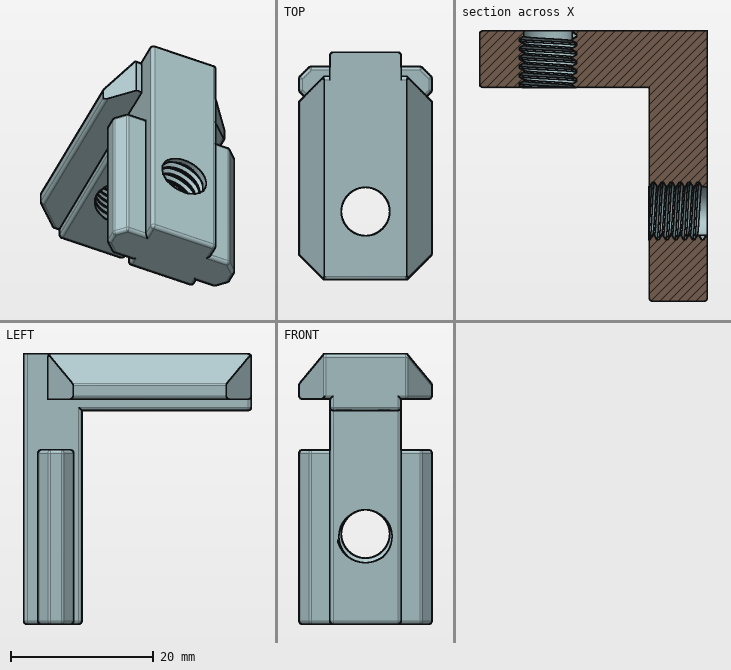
import cadquery as cq
import math

HEIGHT = 38.0
DEPTH = 32.0
WIDTH = 18.7
EDGE_RADIUS = 0.5

TOLERANCE = 0.005

CORE_WIDTH = 10.0
ARM_THICKNESS = 7.98
LEG_THICKNESS = 8.2

ARM_WING_TOP_WIDTH = 11.63
ARM_WING_HEIGHT = 6.4
ARM_WING_BACK_GAP = 3.42
ARM_WING_TAPER_DROP = 4.25
ARM_WING_TAPER_RUN = (WIDTH - ARM_WING_TOP_WIDTH) / 2

LEG_WING_THICKNESS = 5.0
LEG_WING_BACK_GAP = 2.0
LEG_WING_TOP = 24.5
LEG_WING_CHAMFER = 1.52

THREAD_PITCH = 1.25
THREAD_MAJOR_DIAMETER = 8.05
THREAD_MINOR_DIAMETER = 6.75
THREAD_ROOT_FLAT = 0.25
THREAD_START_DEPTH = 0.7
THREAD_OVERLAP = 0.1
THREAD_FLANK_ANGLE = 30
ARM_HOLE_FROM_END = 9.6
LEG_HOLE_FROM_END = 12.7


def l_core():
    """L-shaped bar: arm along -Y at the top, leg down to Z = 0."""
    outline = [
        (0, 0),
        (0, HEIGHT),
        (-DEPTH, HEIGHT),
        (-DEPTH, HEIGHT - ARM_THICKNESS),
        (-LEG_THICKNESS, HEIGHT - ARM_THICKNESS),
        (-LEG_THICKNESS, 0),
    ]
    return cq.Workplane("YZ").polyline(outline).close().extrude(CORE_WIDTH / 2, both=True)


def arm_wings():
    """Head with sloping flanks, mitred in plan at its four corners."""
    half_top = ARM_WING_TOP_WIDTH / 2
    half_width = WIDTH / 2
    bottom = HEIGHT - ARM_WING_HEIGHT
    section = [
        (-half_top, HEIGHT),
        (half_top, HEIGHT),
        (half_width, HEIGHT - ARM_WING_TAPER_DROP),
        (half_width, bottom),
        (-half_width, bottom),
        (-half_width, HEIGHT - ARM_WING_TAPER_DROP),
    ]
    length = DEPTH - ARM_WING_BACK_GAP
    flanks = (
        cq.Workplane("XZ", origin=(0, -ARM_WING_BACK_GAP, 0))
        .polyline(section).close().extrude(length)
    )
    plan = (
        cq.Workplane("XY", origin=(0, -ARM_WING_BACK_GAP - length / 2, bottom))
        .rect(WIDTH, length).extrude(ARM_WING_HEIGHT)
        .edges("|Z").chamfer(ARM_WING_TAPER_RUN)
    )
    return flanks.intersect(plan)


def leg_wings():
    """Octagonal bar across the leg, rounded on its long edges and its top."""
    center_y = -LEG_WING_BACK_GAP - LEG_WING_THICKNESS / 2
    return (
        cq.Workplane("XY", origin=(0, center_y, 0))
        .rect(WIDTH, LEG_WING_THICKNESS).extrude(LEG_WING_TOP)
        .edges("|Z").chamfer(LEG_WING_CHAMFER)
        .edges("|Z").fillet(EDGE_RADIUS)
        .faces(">Z").edges().fillet(EDGE_RADIUS)
    )


def at(value, target):
    """True where a coordinate lies at the target."""
    return abs(value - target) < TOLERANCE


def is_core_long_edge(edge):
    """Free long edges of the core: back of the leg, inside faces of leg and arm."""
    c = edge.Center()
    on_side = at(abs(c.x), CORE_WIDTH / 2)
    leg_edge = at(c.y, 0) or at(c.y, -LEG_THICKNESS)
    arm_edge = at(c.z, HEIGHT - ARM_THICKNESS)
    return on_side and edge.Length() > HEIGHT / 2 and (leg_edge or arm_edge)


def is_flank_edge(edge):
    """Long edges above and below the upright side of each arm wing."""
    c = edge.Center()
    return at(abs(c.x), WIDTH / 2) and edge.Length() > DEPTH / 2


def is_right_mitre_edge(edge):
    """Edges of the front mitre on the +X arm wing."""
    c = edge.Center()
    front = c.y < -DEPTH + ARM_WING_TAPER_RUN + TOLERANCE
    return front and c.x > ARM_WING_TOP_WIDTH / 2 - TOLERANCE


def is_end_face_edge(edge):
    """Outline of the arm's front end face."""
    box = edge.BoundingBox()
    return at(box.ymin, -DEPTH) and at(box.ymax, -DEPTH)


def is_back_top_edge(edge):
    """Short top edges at the back of the arm wings."""
    c = edge.Center()
    return at(c.y, -ARM_WING_BACK_GAP) and at(c.z, HEIGHT)


def is_rounded_edge(edge):
    """Every edge of the core and arm wings that gets rounded."""
    return (
        is_core_long_edge(edge)
        or is_flank_edge(edge)
        or is_right_mitre_edge(edge)
        or is_end_face_edge(edge)
        or is_back_top_edge(edge)
    )


def thread_groove(length):
    """Right-hand thread groove winding down -Z from the origin, starting on the +Y side."""
    inner = THREAD_MINOR_DIAMETER / 2 - THREAD_OVERLAP
    outer = THREAD_MAJOR_DIAMETER / 2
    half_root = THREAD_ROOT_FLAT / 2
    half_opening = half_root + (outer - inner) * math.tan(math.radians(THREAD_FLANK_ANGLE))
    groove = [
        (inner, -half_opening),
        (outer, -half_root),
        (outer, half_root),
        (inner, half_opening),
    ]
    helix = cq.Wire.makeHelix(THREAD_PITCH, length, inner)
    thread = cq.Workplane("XZ").polyline(groove).close().sweep(cq.Workplane(helix), isFrenet=True)
    return (
        thread.rotate((0, 0, 0), (1, 0, 0), 180)
        .rotate((0, 0, 0), (0, 0, 1), 90)
        .translate((0, 0, -THREAD_START_DEPTH))
    )


def bore(length):
    """Plain bore of the thread's minor diameter, down -Z from the origin."""
    return cq.Workplane("XY").circle(THREAD_MINOR_DIAMETER / 2).extrude(-length)


def in_arm(cutter):
    """Place a cutter so that it enters the top of the arm."""
    return cutter.translate((0, ARM_HOLE_FROM_END - DEPTH, HEIGHT))


def in_leg(cutter):
    """Place a cutter so that it enters the back of the leg."""
    return cutter.rotate((0, 0, 0), (1, 0, 0), -90).translate((0, 0, LEG_HOLE_FROM_END))


body = l_core().union(arm_wings())
body = body.edges().filter(is_rounded_edge).fillet(EDGE_RADIUS)
body = body.union(leg_wings())
body = body.faces("<Z").edges().fillet(EDGE_RADIUS)

thread_length = LEG_THICKNESS + THREAD_PITCH
for cutter in (thread_groove(thread_length), bore(thread_length)):
    body = body.cut(in_arm(cutter)).cut(in_leg(cutter))

result = body